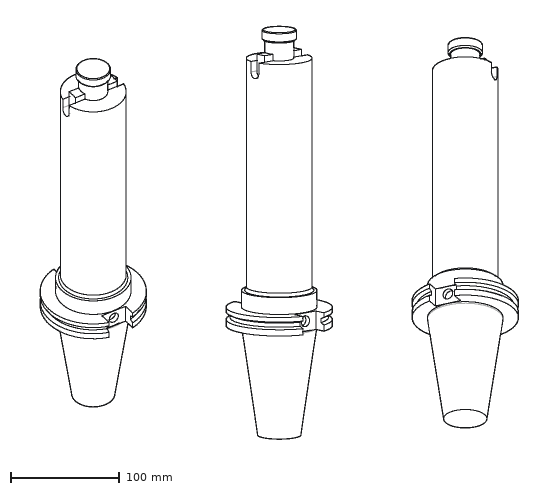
import cadquery as cq

gauge_dia = 69.85
taper_length = 101.6
taper_ratio = 7 / 24
taper_end_dia = gauge_dia - taper_length * taper_ratio

flange_dia = 98.42
flange_bottom = 1.6
flange_top = 19.05
groove_center = 11.1
groove_floor_dia = 91
groove_floor_width = 3.8
groove_mouth_width = 7.2

slot_width = 25.9
near_floor_offset = 36.4
far_floor_offset = 35.3
coolant_hole_dia = 10
coolant_hole_depth = 5

collar_dia = gauge_dia
collar_top = 34.925
body_foot_dia = 64
body_foot_top = 38.2
body_dia = 61
pilot_dia = 27
overall_length = 382.45
screw_top = overall_length - taper_length
pilot_exposed_length = 27
body_top = screw_top - pilot_exposed_length

screw_dia = 32
screw_thickness = 10
screw_top_chamfer = 0.9
screw_bottom_chamfer = 1.5
pilot_top = screw_top - screw_thickness

key_width = 10.8
key_top = body_top + 6
key_bottom = body_top - 15.3
key_outer_reach = 22.9


def make_turned_holder():
    """Half outline of the holder, from the small end upwards, turned about Z."""
    mouth_half = groove_mouth_width / 2
    floor_half = groove_floor_width / 2
    outline = [
        (0, -taper_length),
        (taper_end_dia / 2, -taper_length),
        (gauge_dia / 2, 0),
        (gauge_dia / 2, flange_bottom),
        (flange_dia / 2, flange_bottom),
        (flange_dia / 2, groove_center - mouth_half),
        (groove_floor_dia / 2, groove_center - floor_half),
        (groove_floor_dia / 2, groove_center + floor_half),
        (flange_dia / 2, groove_center + mouth_half),
        (flange_dia / 2, flange_top),
        (collar_dia / 2, flange_top),
        (collar_dia / 2, collar_top),
        (body_foot_dia / 2, collar_top),
        (body_dia / 2, body_foot_top),
        (body_dia / 2, body_top),
        (pilot_dia / 2, body_top),
        (pilot_dia / 2, pilot_top),
        (0, pilot_top),
    ]
    return cq.Workplane("XZ").polyline(outline).close().revolve(360, (0, 0, 0), (0, 1, 0))


def make_drive_slot(side, floor_offset):
    """Cutter for one flange slot with the round coolant hole in its floor."""
    slot = (
        cq.Workplane("YZ")
        .workplane(offset=side * floor_offset)
        .center(0, (flange_bottom + flange_top) / 2)
        .rect(slot_width, flange_top - flange_bottom)
        .extrude(side * flange_dia / 2)
    )
    hole = (
        cq.Workplane("YZ")
        .workplane(offset=side * floor_offset)
        .center(0, groove_center)
        .circle(coolant_hole_dia / 2)
        .extrude(-side * coolant_hole_depth)
    )
    return slot.union(hole)


def make_key_bar(side, outer_reach):
    """Round-bottomed bar along Y, from the pilot surface out to outer_reach."""
    half_width = key_width / 2
    arc_start = key_bottom + half_width
    bar = (
        cq.Workplane("XZ")
        .moveTo(-half_width, key_top)
        .lineTo(-half_width, arc_start)
        .threePointArc((0, key_bottom), (half_width, arc_start))
        .lineTo(half_width, key_top)
        .close()
        .extrude(-side * outer_reach)
    )
    core = (
        cq.Workplane("XY")
        .workplane(offset=key_bottom)
        .circle(pilot_dia / 2)
        .extrude(key_top - key_bottom)
    )
    return bar.cut(core)


def make_screw_head():
    return (
        cq.Workplane("XY")
        .workplane(offset=pilot_top)
        .circle(screw_dia / 2)
        .extrude(screw_thickness)
        .faces("<Z")
        .chamfer(screw_bottom_chamfer)
        .faces(">Z")
        .chamfer(screw_top_chamfer)
    )


holder = make_turned_holder()
for side, floor_offset in ((-1, near_floor_offset), (1, far_floor_offset)):
    holder = holder.cut(make_drive_slot(side, floor_offset))
for side in (-1, 1):
    holder = holder.cut(make_key_bar(side, body_dia))

keys = []
for side in (-1, 1):
    keys.append(make_key_bar(side, key_outer_reach).val())

screw_head = make_screw_head()

result = cq.Compound.makeCompound([holder.val(), screw_head.val(), *keys])